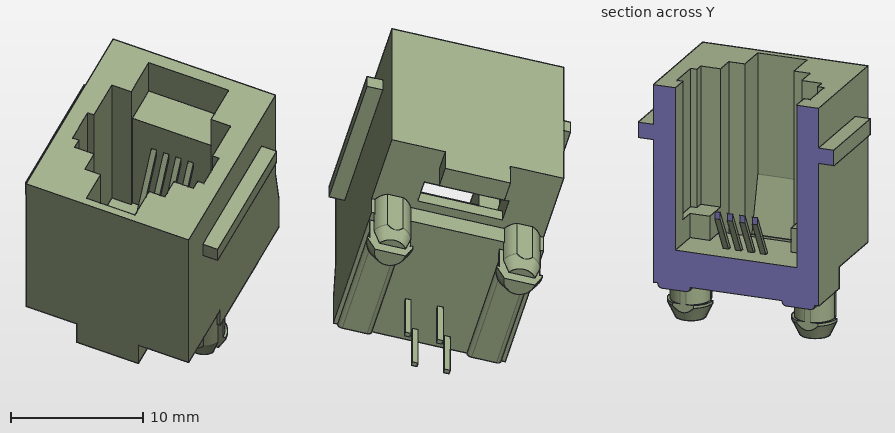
import cadquery as cq


body_width = 13.51
top_depth = 15.87
base_depth = 16.52
top_z = 20.32
back_slope_top_z = 11.14
back_slope_bottom_z = 7.48
front_base_z = 6.05
rear_base_z = 4.3
base_step_y = 5.73

tongue_width = 5.12
tongue_thickness = 1.69
tongue_bottom_z = 3.92

overall_width = 16.0
rib_bottom_z = 15.83
rib_top_z = 17.1
rib_front_y = 2.56
rib_back_y = 13.3

core_width = 6.65
core_front_y = 3.17
core_back_y = 14.83
wide_width = 9.88
wide_front_y = 4.84
wide_back_y = 11.65
notch_width = 10.91
notch_front_y = 5.6
notch_back_y = 8.37
floor_z = 7.2
floor_front_y = 5.0
ledge_z = 9.15
ledge_back_y = 6.97

latch_width = 4.02
latch_front_y = 0.59
latch_ramp_back_y = 1.77
latch_ramp_drop = 4.47

block_front_y = 11.85
block_top_z = 17.03
contact_count = 4
contact_pitch = 1.02
contact_width = 0.45
contact_tip_y = 7.82
contact_root_z = 14.28
contact_height = 0.6

pin_pitch = 1.25
pin_width = 0.45
pin_thickness = 0.35
pin_row_ys = (13.0, 15.55)

peg_x = 5.08
peg_y = 6.46
peg_radius = 1.58
peg_flat = 1.46
peg_back = 1.56
peg_tip_radius = 1.2
peg_tip_z = 0.71
peg_taper_z = 2.15
barb_radius = 1.79
barb_taper_z = 1.93
slot_width = 0.63

rail_width = 2.68
rail_edge_radius = 0.37


def block(width, y_range, z_range, x=0):
    """Box centred on x that spans the given Y and Z ranges."""
    (y0, y1), (z0, z1) = y_range, z_range
    box = cq.Workplane("XY").box(width, y1 - y0, z1 - z0, centered=(True, False, False))
    return box.translate((x, y0, z0))


def extrude_across(points, width, x=0):
    """Side profile of (y, z) points extruded along X, centred on x."""
    return cq.Workplane("YZ").polyline(points).close().extrude(width / 2, both=True).translate((x, 0, 0))


def make_housing():
    profile = [
        (0, front_base_z),
        (base_step_y, front_base_z),
        (base_step_y, rear_base_z),
        (base_depth, rear_base_z),
        (base_depth, back_slope_bottom_z),
        (top_depth, back_slope_top_z),
        (top_depth, top_z),
        (0, top_z),
    ]
    housing = extrude_across(profile, body_width)
    tongue = block(tongue_width, (0, tongue_thickness), (tongue_bottom_z, front_base_z))
    ribs = block(overall_width, (rib_front_y, rib_back_y), (rib_bottom_z, rib_top_z))
    return housing.union(tongue).union(ribs)


def make_cavity():
    cavity = block(core_width, (core_front_y, block_front_y), (floor_z, top_z))
    above_block = block(core_width, (block_front_y, core_back_y), (block_top_z, top_z))
    bottom_opening = block(core_width, (core_front_y, floor_front_y), (0, top_z))
    shoulders = block(wide_width, (ledge_back_y, wide_back_y), (floor_z, top_z))
    corners = block(wide_width, (wide_front_y, ledge_back_y), (ledge_z, top_z))
    notches = block(notch_width, (notch_front_y, notch_back_y), (ledge_z, top_z))
    for part in (above_block, bottom_opening, shoulders, corners, notches):
        cavity = cavity.union(part)
    return cavity


def make_latch_channel():
    ramp_top_z = front_base_z + latch_ramp_drop
    profile = [
        (latch_front_y, top_z),
        (latch_front_y, ramp_top_z),
        (latch_ramp_back_y, front_base_z),
        (core_front_y, front_base_z),
        (core_front_y, top_z),
    ]
    return extrude_across(profile, latch_width)


def make_contact(x):
    """Sloped wire that runs forward and down from the contact block into the cavity floor."""
    profile = [
        (block_front_y, contact_root_z),
        (contact_tip_y, floor_z),
        (contact_tip_y, floor_z - contact_height),
        (block_front_y, contact_root_z - contact_height),
    ]
    return extrude_across(profile, contact_width, x)


def make_pin(x, y):
    pin = block(pin_width, (-pin_thickness / 2, pin_thickness / 2), (0, rear_base_z))
    return pin.translate((x, y, 0))


def turned_peg(side_points):
    """Full peg revolved about Z; side_points is its (radius, z) outline between the tip and the shank."""
    outline = [
        (0, peg_tip_z),
        (peg_tip_radius, peg_tip_z),
        *side_points,
        (peg_radius, peg_taper_z),
        (peg_radius, front_base_z),
        (0, front_base_z),
    ]
    return cq.Workplane("XZ").polyline(outline).close().revolve(360, (0, 0, 0), (0, 1, 0))


def make_peg(x):
    """Split peg: a plain front half with a flat, and a barbed back half."""
    plain = turned_peg([])
    barbed = turned_peg([(barb_radius, barb_taper_z), (barb_radius, peg_taper_z)])
    clip_width = 2 * barb_radius
    full_height = (0, front_base_z)
    front_half = plain.intersect(block(clip_width, (-peg_flat, -slot_width), full_height))
    back_half = barbed.intersect(block(clip_width, (0, peg_back), full_height))
    return front_half.union(back_half).translate((x, peg_y, 0))


def make_rail(x):
    rail = block(rail_width, (peg_y, base_depth), (tongue_bottom_z, rear_base_z), x)
    return rail.edges("|Y and <Z").fillet(rail_edge_radius)


result = make_housing().cut(make_cavity()).cut(make_latch_channel())

for index in range(contact_count):
    offset = index - (contact_count - 1) / 2
    result = result.union(make_contact(offset * contact_pitch))
    result = result.union(make_pin(offset * pin_pitch, pin_row_ys[index % 2]))

for side in (-1, 1):
    result = result.union(make_rail(side * peg_x))
    result = result.union(make_peg(side * peg_x))